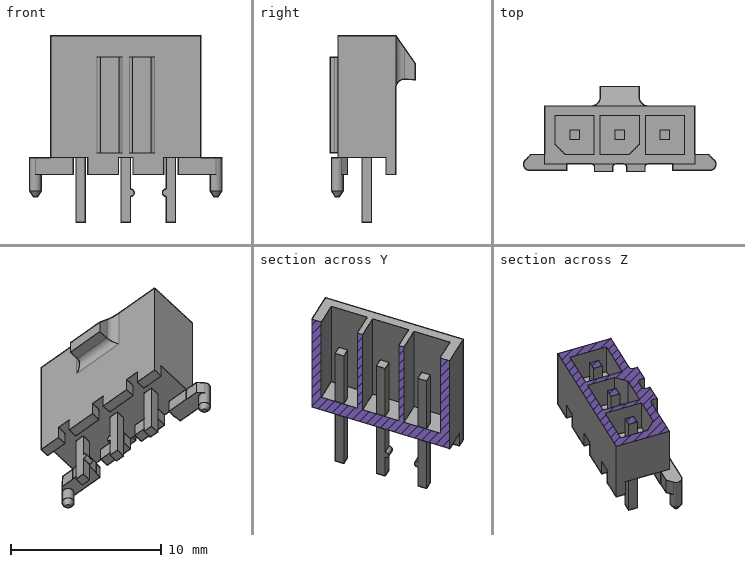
import cadquery as cq
import math


pitch = 3.0
pin_x_positions = [-pitch, 0.0, pitch]
housing_width = 10.0
housing_depth = 3.86
housing_height = 8.12
front_y = -housing_depth / 2
back_y = housing_depth / 2

cavity_size = 2.61
cavity_chamfer = 0.68
cavity_floor = 1.2

pin_size = 0.64
pin_tail = 4.3
pin_top = 5.6
bump_radius = 0.25
bump_z = -2.33

rail_height = 1.13
rail_thickness = 0.66
slot_width = 0.94

latch_width = 2.6
latch_reach = 1.3
latch_fillet = 0.58
latch_ramp_drop = 1.87
latch_root_drop = 2.91
latch_tip_drop = 2.95

rib_width = 1.23
rib_reach = 0.51
rib_fillet = 0.22
rib_spacing = 2.14
rib_bottom = 0.32
rib_top_drop = 1.43

wing_span = 12.8
wing_inner_x = 3.52
wing_overhang = 0.43
wing_inset = 0.64
peg_radius = 0.4
peg_tip_radius = 0.14
peg_shoulder_z = -2.2
peg_tip_z = -2.6


def box(x_range, y_range, z_range):
    """Box spanning the given (low, high) ranges."""
    return (
        cq.Workplane("XY", origin=(0, 0, z_range[0]))
        .moveTo(x_range[0], y_range[0])
        .lineTo(x_range[1], y_range[0])
        .lineTo(x_range[1], y_range[1])
        .lineTo(x_range[0], y_range[1])
        .close()
        .extrude(z_range[1] - z_range[0])
    )


def flared_bar(width, reach, fillet, z_low, z_high):
    """Vertical bar standing out along +y from y = 0, its two root corners filleted."""
    half = width / 2
    mid_x = fillet * (1 - math.sqrt(0.5))
    return (
        cq.Workplane("XY", origin=(0, 0, z_low))
        .moveTo(-half - fillet, 0)
        .threePointArc((-half - mid_x, mid_x), (-half, fillet))
        .lineTo(-half, reach)
        .lineTo(half, reach)
        .lineTo(half, fillet)
        .threePointArc((half + mid_x, mid_x), (half + fillet, 0))
        .close()
        .extrude(z_high - z_low)
    )


def housing():
    """Outer block with one open-topped cavity per pin."""
    half_width = housing_width / 2
    body = box((-half_width, half_width), (front_y, back_y), (0, housing_height))
    half = cavity_size / 2
    keyed_corners = ["<X and <Y", ">X and <Y", None]
    for x, corner in zip(pin_x_positions, keyed_corners):
        cavity = box((x - half, x + half), (-half, half), (cavity_floor, housing_height))
        if corner:
            cavity = cavity.edges("|Z").edges(corner).chamfer(cavity_chamfer)
        body = body.cut(cavity)
    return body


def rails():
    """Standoff rails along the front and back walls, cut away at every pin."""
    half_width = housing_width / 2
    z_range = (-rail_height, 0)
    front = box((-half_width, half_width), (front_y, front_y + rail_thickness), z_range)
    back = box((-half_width, half_width), (back_y - rail_thickness, back_y), z_range)
    both = front.union(back)
    for x in pin_x_positions:
        both = both.cut(box((x - slot_width / 2, x + slot_width / 2), (front_y, back_y), z_range))
    return both


def pin(x):
    """Square contact pin from the board tail up into its cavity."""
    half = pin_size / 2
    return box((x - half, x + half), (-half, half), (-pin_tail, pin_top))


def retention_bump(x):
    """Round bump across the side of a pin tail, centred on the pin face at x."""
    return (
        cq.Workplane("XZ", origin=(0, pin_size / 2, 0))
        .center(x, bump_z)
        .circle(bump_radius)
        .extrude(pin_size)
    )


def latch():
    """Ramped latch with filleted sides and a filleted underside."""
    root_z = housing_height - latch_root_drop
    fillet_z = root_z - latch_fillet
    mid = latch_fillet * (1 - math.sqrt(0.5))
    bar = flared_bar(latch_width, latch_reach, latch_fillet, fillet_z, housing_height)
    ramp = (
        cq.Workplane("YZ")
        .moveTo(0, housing_height)
        .lineTo(latch_reach, housing_height - latch_ramp_drop)
        .lineTo(latch_reach, housing_height - latch_tip_drop)
        .lineTo(latch_fillet, root_z)
        .threePointArc((mid, root_z - mid), (0, fillet_z))
        .close()
        .extrude(latch_width, both=True)
    )
    return bar.intersect(ramp).translate((0, back_y, 0))


def rib(x):
    """Polarising rib on the front wall."""
    bar = flared_bar(rib_width, rib_reach, rib_fillet, rib_bottom, housing_height - rib_top_drop)
    return bar.mirror("XZ").translate((x, front_y, 0))


def right_wing():
    """Board-lock wing on the +x side, its rounded outer end carrying a tapered peg."""
    peg_x = wing_span / 2 - peg_radius
    wing_front = front_y - wing_overhang
    wing_back = front_y + wing_inset
    peg_y = wing_front + peg_radius
    tangent_offset = peg_radius * math.sqrt(0.5)
    tangent_x = peg_x + tangent_offset
    tangent_y = peg_y + tangent_offset
    flat_end_x = tangent_x - (wing_back - tangent_y)
    arm = (
        cq.Workplane("XY", origin=(0, 0, -rail_height))
        .moveTo(wing_inner_x, wing_front)
        .lineTo(peg_x, wing_front)
        .threePointArc((peg_x + peg_radius, peg_y), (tangent_x, tangent_y))
        .lineTo(flat_end_x, wing_back)
        .lineTo(wing_inner_x, wing_back)
        .close()
        .extrude(rail_height)
    )
    peg = (
        cq.Workplane("XZ")
        .moveTo(0, 0)
        .lineTo(peg_radius, 0)
        .lineTo(peg_radius, peg_shoulder_z)
        .lineTo(peg_tip_radius, peg_tip_z)
        .lineTo(0, peg_tip_z)
        .close()
        .revolve(360, (0, 0, 0), (0, 1, 0))
        .translate((peg_x, peg_y, 0))
    )
    return arm.union(peg)


result = housing().union(rails()).union(latch())

for pin_x in pin_x_positions:
    result = result.union(pin(pin_x))

for bump_x in (pin_size / 2, pitch - pin_size / 2):
    result = result.union(retention_bump(bump_x))

for rib_x in (-rib_spacing / 2, rib_spacing / 2):
    result = result.union(rib(rib_x))

wing = right_wing()
result = result.union(wing).union(wing.mirror("YZ"))